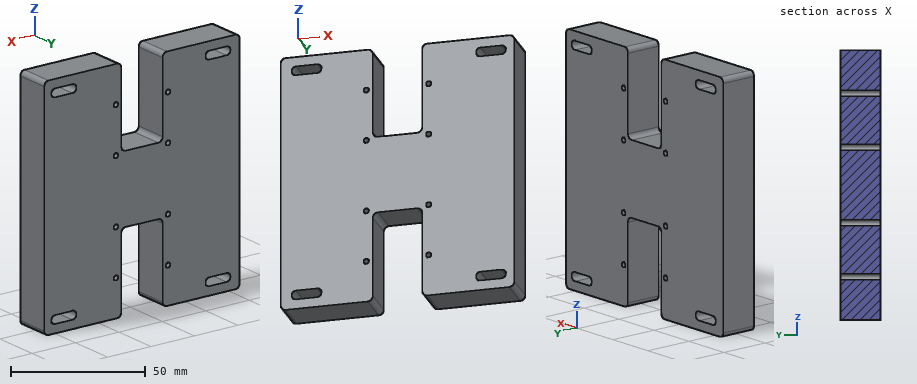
import cadquery as cq

width = 90.0
thickness = 15.0
height = 100.0
corner_radius = 2.0

notch_width = 19.0
notch_depth = 35.0

slot_length = 11.5
slot_width = 3.5
slot_left_x = -35.0
slot_right_x = 36.0
slot_edge_distance = 5.5

hole_diameter = 2.0
hole_spacing_x = 24.0
hole_inner_z = 14.0
hole_outer_z = 34.0


def make_body():
    """H-shaped plate with every corner of its profile rounded."""
    body = cq.Workplane("XY").box(width, thickness, height)
    notch_z = (height - notch_depth) / 2
    for side in (-1, 1):
        notch = cq.Workplane("XY").box(notch_width, thickness, notch_depth)
        body = body.cut(notch.translate((0, 0, side * notch_z)))
    return body.edges("|Y").fillet(corner_radius)


def cut_slots(body):
    """Slots through the full thickness, long side along X."""
    slot_z = height / 2 - slot_edge_distance
    centers = [(x, z) for x in (slot_left_x, slot_right_x) for z in (-slot_z, slot_z)]
    slots = (
        cq.Workplane("XZ")
        .pushPoints(centers)
        .slot2D(slot_length, slot_width)
        .extrude(thickness / 2, both=True)
    )
    return body.cut(slots)


def cut_holes(body):
    """Two columns of through holes, mirrored about the centre planes."""
    columns = (-hole_spacing_x / 2, hole_spacing_x / 2)
    rows = (-hole_outer_z, -hole_inner_z, hole_inner_z, hole_outer_z)
    centers = [(x, z) for x in columns for z in rows]
    holes = (
        cq.Workplane("XZ")
        .pushPoints(centers)
        .circle(hole_diameter / 2)
        .extrude(thickness / 2, both=True)
    )
    return body.cut(holes)


result = cut_holes(cut_slots(make_body()))